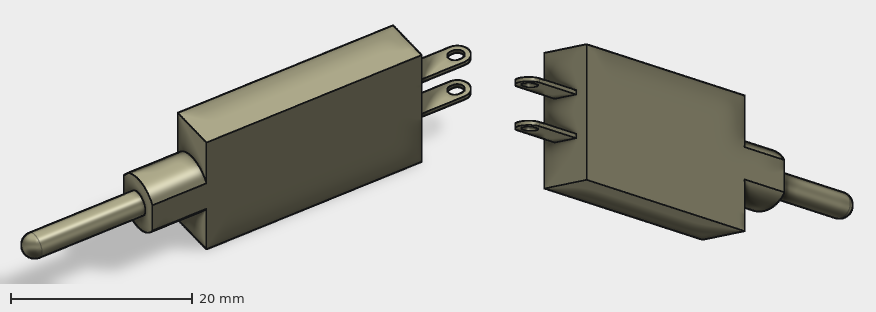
import cadquery as cq

overall_length = 58.0
body_width = 6.0
body_height = 15.5
body_length = 28.0
bushing_diameter = 7.0
bushing_length = 7.0
plunger_diameter = 3.0
tab_length = 8.0
tab_width = 3.0
tab_thickness = 0.5
tab_spacing = 5.0
hole_width = 1.6
hole_length = 2.0
hole_to_tip = 1.7

plunger_radius = plunger_diameter / 2
plunger_length = overall_length - tab_length - body_length
dome_start = plunger_length - plunger_radius
tab_tip = body_length + tab_length


def make_body():
    return cq.Workplane("XY").box(
        body_width, body_length, body_height, centered=(True, False, True)
    )


def make_bushing():
    """Round bushing with both sides cut flush with the body."""
    cylinder = cq.Workplane("XZ").circle(bushing_diameter / 2).extrude(bushing_length)
    flats = cq.Workplane("XZ").rect(body_width, bushing_diameter).extrude(bushing_length)
    return cylinder.intersect(flats)


def make_plunger():
    """Plunger rod with a hemispherical tip."""
    rod = cq.Workplane("XZ").circle(plunger_radius).extrude(dome_start)
    dome = cq.Workplane("XY").sphere(plunger_radius).translate((0, -dome_start, 0))
    return rod.union(dome)


def make_tab(center_z):
    """Flat solder tab with a rounded end and an elongated hole."""
    half_width = tab_width / 2
    round_start = tab_tip - half_width
    plane = cq.Workplane("XY", origin=(0, 0, center_z - tab_thickness / 2))
    blade = (
        plane.moveTo(-half_width, body_length)
        .lineTo(half_width, body_length)
        .lineTo(half_width, round_start)
        .threePointArc((0, tab_tip), (-half_width, round_start))
        .close()
        .extrude(tab_thickness)
    )
    hole = (
        plane.center(0, tab_tip - hole_to_tip)
        .slot2D(hole_length, hole_width, 90)
        .extrude(tab_thickness)
    )
    return blade.cut(hole)


result = make_body().union(make_bushing()).union(make_plunger())
for side in (-1, 1):
    result = result.union(make_tab(side * tab_spacing / 2))